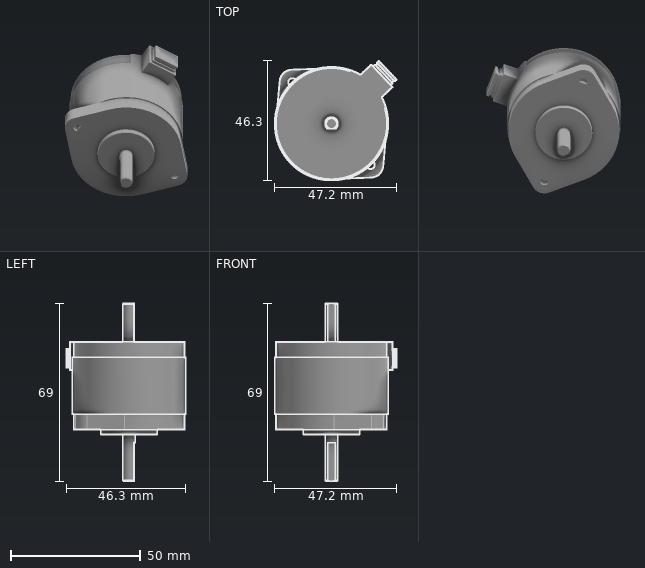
import cadquery as cq
import math

lower_shaft_length = 18.0
pilot_height = 2.0
flange_height = 6.0
body_height = 22.0
cap_height = 6.0
upper_shaft_length = 15.0

pilot_bottom = lower_shaft_length
flange_bottom = pilot_bottom + pilot_height
body_bottom = flange_bottom + flange_height
cap_bottom = body_bottom + body_height
cap_top = cap_bottom + cap_height
shaft_top = cap_top + upper_shaft_length

body_diameter = 44.0
cap_diameter = 43.0
pilot_diameter = 22.0
pilot_chamfer = 0.3

shaft_diameter = 5.0
shaft_chamfer = 0.4
flat_distance = 2.0
flat_length = 15.0

ear_angle = 133.5
ear_distance = 22.0
ear_radius = 5.0
mounting_hole_diameter = 3.1

connector_angle = ear_angle - 90
base_width = 20.0
block_width = 12.0
block_height = 11.0
block_reach = 26.9
plug_width = 10.0
plug_height = 7.3
plug_drop = 2.75
plug_layer = 1.05
plug_layer_count = 3
groove_depth = 0.5


def disc(diameter, height, bottom):
    return cq.Workplane("XY").workplane(offset=bottom).circle(diameter / 2).extrude(height)


def make_shaft():
    shaft = disc(shaft_diameter, shaft_top, 0).faces("<Z or >Z").chamfer(shaft_chamfer)
    cut_depth = shaft_diameter / 2
    for bottom in (0, shaft_top - flat_length):
        flat_cut = cq.Workplane("XY").box(
            shaft_diameter, cut_depth, flat_length, centered=(True, False, False)
        )
        shaft = shaft.cut(flat_cut.translate((0, -flat_distance - cut_depth, bottom)))
    return shaft


def make_pilot():
    return disc(pilot_diameter, pilot_height, pilot_bottom).faces("<Z").chamfer(pilot_chamfer)


def make_ear():
    """Ear along +X whose straight sides are tangent to the flange disc and to the rounded tip."""
    disc_radius = cap_diameter / 2
    tangent_angle = math.acos((disc_radius - ear_radius) / ear_distance)
    across = math.sin(tangent_angle)
    along = math.cos(tangent_angle)
    disc_x = disc_radius * along
    disc_y = disc_radius * across
    tip_x = ear_distance + ear_radius * along
    tip_y = ear_radius * across
    return (
        cq.Workplane("XY")
        .workplane(offset=flange_bottom)
        .moveTo(0, 0)
        .lineTo(disc_x, -disc_y)
        .lineTo(tip_x, -tip_y)
        .threePointArc((ear_distance + ear_radius, 0), (tip_x, tip_y))
        .lineTo(disc_x, disc_y)
        .close()
        .extrude(flange_height)
    )


def make_flange():
    flange = disc(cap_diameter, flange_height, flange_bottom)
    hole = disc(mounting_hole_diameter, flange_height, flange_bottom).translate((ear_distance, 0, 0))
    for angle in (ear_angle, ear_angle + 180):
        ear = make_ear().cut(hole)
        flange = flange.union(ear.rotate((0, 0, 0), (0, 0, 1), angle))
    return flange


def connector_box(start, end, width, height, top):
    """Box reaching from start to end along +X, centred on Y, with its upper face at top."""
    box = cq.Workplane("XY").box(end - start, width, height, centered=(False, True, False))
    return box.translate((start, 0, top - height))


def make_connector():
    base = connector_box(0, body_diameter / 2, base_width, cap_height, cap_top)
    base = base.intersect(disc(body_diameter, cap_height, cap_bottom))
    connector = base.union(connector_box(0, block_reach, block_width, block_height, cap_top))
    plug_top = cap_top - plug_drop
    for layer in range(plug_layer_count):
        inset = groove_depth if layer == 1 else 0
        start = block_reach + layer * plug_layer
        connector = connector.union(
            connector_box(
                start,
                start + plug_layer,
                plug_width - 2 * inset,
                plug_height - 2 * inset,
                plug_top - inset,
            )
        )
    return connector.rotate((0, 0, 0), (0, 0, 1), connector_angle)


body = disc(body_diameter, body_height, body_bottom)
cap = disc(cap_diameter, cap_height, cap_bottom)

result = (
    body.union(cap)
    .union(make_flange())
    .union(make_pilot())
    .union(make_connector())
    .union(make_shaft())
)